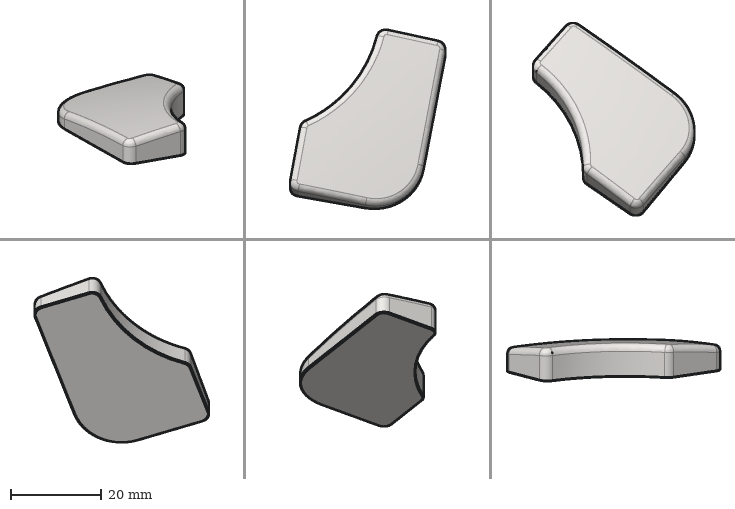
import cadquery as cq
import math

length = 39.8
width = 28.4
corner_diameter = 4.25
corner_radius = corner_diameter / 2
large_corner_radius = 11.15

axis_x = 39.45
axis_y = 44.75
concave_radius = 29.25

dome_inner = (27.85, 7.7)
dome_middle = (42.2, 5.75)
dome_outer = (61.7, 2.03)

top_fillet = 1.5
bottom_chamfer = 0.25


def concave_point(angle):
    """Point on the concave edge at an angle measured from the -Y direction toward -X."""
    return (axis_x - concave_radius * math.sin(angle), axis_y - concave_radius * math.cos(angle))


def outline_prism(height):
    """Upright body with its vertical corners rounded."""
    right_angle = math.asin((axis_x - length) / concave_radius)
    rear_angle = math.acos((axis_y - width) / concave_radius)
    body = (
        cq.Workplane("XY")
        .lineTo(length, 0)
        .lineTo(*concave_point(right_angle))
        .threePointArc(concave_point((right_angle + rear_angle) / 2), concave_point(rear_angle))
        .lineTo(0, width)
        .close()
        .extrude(height)
    )
    large_corner = cq.selectors.NearestToPointSelector((0, 0, height / 2))
    body = body.edges("|Z").edges(cq.selectors.InverseSelector(large_corner)).fillet(corner_radius)
    return body.edges(large_corner).fillet(large_corner_radius)


def dome_solid():
    """Solid of revolution below the top surface."""
    return (
        cq.Workplane("XZ", origin=(axis_x, axis_y, 0))
        .moveTo(0, 0)
        .lineTo(0, dome_inner[1])
        .lineTo(*dome_inner)
        .threePointArc(dome_middle, dome_outer)
        .lineTo(dome_outer[0], 0)
        .close()
        .revolve(360, (0, 0, 0), (0, 1, 0))
    )


prism_height = dome_inner[1]
body = outline_prism(prism_height).intersect(dome_solid())
body = body.faces("<Z").chamfer(bottom_chamfer)
result = body.faces(">Z").edges().fillet(top_fillet)